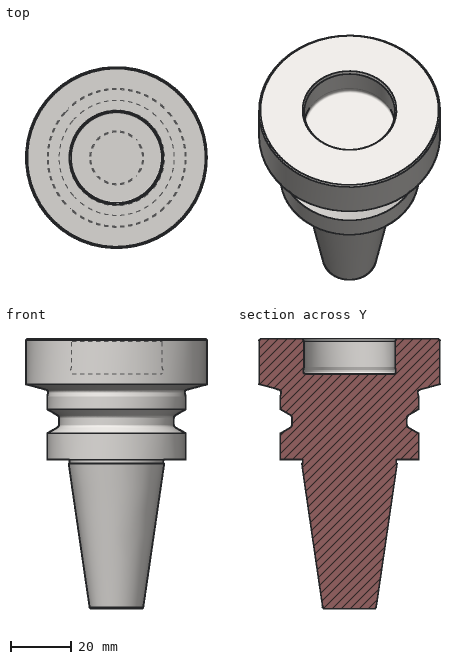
import cadquery as cq
import math

total_length = 89.4

head_diameter = 60.0
head_radius = head_diameter / 2
head_bottom_z = 74.2
head_edge_chamfer = 0.5
head_cone_angle = 15.0

flange_radius = 23.0
flange_top_z = 70.3
flange_bevel_angle = 15.0
neck_fillet = 0.7
flange_bottom_z = 49.35
groove_radius = 19.0
groove_upper_z = 66.0
groove_lower_z = 58.0
groove_angle = 30.0
groove_fillet = 1.0

relief_radius = 15.6
relief_bottom_z = 48.2
relief_fillet = 0.3

shank_radius = 15.8
shank_land = 0.1
diameter_taper = 7 / 24
radius_taper = diameter_taper / 2
tip_chamfer_height = 0.5
tip_chamfer_width = 0.4

bore_radius = 15.0
bore_depth = 11.7
bore_mouth_radius = 15.6
bore_mouth_depth = 1.0
undercut_radius = 15.3
undercut_start_depth = 9.5
undercut_full_depth = 10.4
bore_floor_fillet = 0.8

MATCH_TOLERANCE = 0.0001


def revolve_profile(points):
    """Revolve an (r, z) outline around the Z axis."""
    return cq.Workplane("XZ").polyline(points).close().revolve(360, (0, 0, 0), (0, 1, 0))


def fillet_circle(solid, radius, z, size):
    """Fillet the circular edge that passes through (radius, z)."""
    def is_wanted(edge):
        return (
            edge.geomType() == "CIRCLE"
            and math.isclose(edge.radius(), radius, abs_tol=MATCH_TOLERANCE)
            and math.isclose(edge.Center().z, z, abs_tol=MATCH_TOLERANCE)
        )

    return solid.edges().filter(is_wanted).fillet(size)


head_slope = math.tan(math.radians(head_cone_angle))
bevel_slope = math.tan(math.radians(flange_bevel_angle))
flange_bevel_rise = (
    head_bottom_z - flange_top_z - head_slope * (head_radius - flange_radius)
) / (1 + head_slope * bevel_slope)
neck_z = flange_top_z + flange_bevel_rise
neck_radius = flange_radius - bevel_slope * flange_bevel_rise

groove_side_height = (flange_radius - groove_radius) * math.tan(math.radians(groove_angle))
groove_floor_top_z = groove_upper_z - groove_side_height
groove_floor_bottom_z = groove_lower_z + groove_side_height

shank_top_z = relief_bottom_z - (shank_radius - relief_radius)
taper_top_z = shank_top_z - shank_land
tip_radius = shank_radius - radius_taper * (taper_top_z - tip_chamfer_height)


def make_body():
    """Solid holder: tapered shank, grooved flange and head."""
    body = revolve_profile([
        (0, 0),
        (tip_radius - tip_chamfer_width, 0),
        (tip_radius, tip_chamfer_height),
        (shank_radius, taper_top_z),
        (shank_radius, shank_top_z),
        (relief_radius, relief_bottom_z),
        (relief_radius, flange_bottom_z),
        (flange_radius, flange_bottom_z),
        (flange_radius, groove_lower_z),
        (groove_radius, groove_floor_bottom_z),
        (groove_radius, groove_floor_top_z),
        (flange_radius, groove_upper_z),
        (flange_radius, flange_top_z),
        (neck_radius, neck_z),
        (head_radius, head_bottom_z),
        (head_radius, total_length - head_edge_chamfer),
        (head_radius - head_edge_chamfer, total_length),
        (0, total_length),
    ])
    body = fillet_circle(body, neck_radius, neck_z, neck_fillet)
    body = fillet_circle(body, groove_radius, groove_floor_top_z, groove_fillet)
    body = fillet_circle(body, groove_radius, groove_floor_bottom_z, groove_fillet)
    return fillet_circle(body, relief_radius, flange_bottom_z, relief_fillet)


def make_bore():
    """Volume of the bore, with its bevelled mouth and undercut floor."""
    floor_z = total_length - bore_depth
    bore = revolve_profile([
        (0, floor_z),
        (undercut_radius, floor_z),
        (undercut_radius, total_length - undercut_full_depth),
        (bore_radius, total_length - undercut_start_depth),
        (bore_radius, total_length - bore_mouth_depth),
        (bore_mouth_radius, total_length),
        (0, total_length),
    ])
    return fillet_circle(bore, undercut_radius, floor_z, bore_floor_fillet)


result = make_body().cut(make_bore())